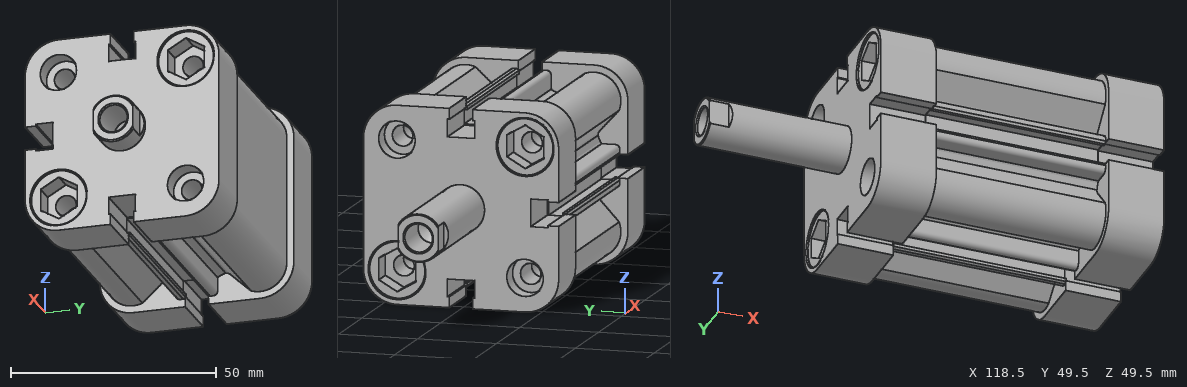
import cadquery as cq
import math


total_length = 118.5
front_rod_length = 37.0
cap_thickness = 14.6
tube_length = 45.3
tube_start = front_rod_length + cap_thickness
rear_cap_end = tube_start + tube_length + cap_thickness

cap_width = 49.5
corner_spacing = 32.5
corner_offset = corner_spacing / 2
cap_corner_radius = cap_width / 2 - corner_offset
cap_slot_mouth_width = 5.9
cap_slot_width = 6.9
cap_slot_mouth_depth = 2.7
cap_slot_depth = 7.1

screw_head_diameter = 14.0
screw_recess_diameter = 14.6
screw_head_setback = 0.4
hex_across_flats = 9.4
hex_depth = 5.7
corner_bore_diameter = 5.2
counterbore_diameter = 9.2
counterbore_depth = 5.0

tube_width = 46.0
tube_corner_radius = tube_width / 2 - corner_offset
corner_flat_start = 13.9
valley_outer = (8.5, 17.7)
valley_middle = (7.9, 17.3)
valley_bottom = (7.3, 17.2)
rail_foot_outer = (5.8, 17.8)
rail_foot = (5.3, 18.1)
rail_top_height = 22.8
shoulder_radius = 1.2
rail_shoulder_height = rail_top_height - shoulder_radius
rail_top_half_width = rail_foot[0] - shoulder_radius
lip_bevel_half_width = 3.4
lip_half_width = 2.7
lip_bevel_bottom = 22.4
lip_bottom = 21.6
tube_slot_width = 6.9
tube_slot_floor = 18.0

rod_diameter = 12.0
flat_distance = 10.1
front_flat_length = 5.1
rear_flat_length = 5.5
flat_runout = 0.6
front_chamfer = 0.2
rear_chamfer = 0.4
thread_diameter = 7.0
thread_mouth_diameter = 7.7
thread_depth = 11.8
drill_tip_angle = 118.0

slotted_side_turns = (0, 90, 180)

screw_corners = [(-corner_offset, corner_offset), (corner_offset, -corner_offset)]
plain_corners = [(corner_offset, corner_offset), (-corner_offset, -corner_offset)]
all_corners = screw_corners + plain_corners


def section_at(x):
    """Workplane across the axis, with local x along Y and local y along Z."""
    return cq.Workplane("YZ", origin=(x, 0, 0))


def turned(body, angle):
    return body.rotate((0, 0, 0), (1, 0, 0), angle)


def mirrored_outline(half_points):
    """Closed outline from the points of its +Y half."""
    return half_points + [(-y, z) for y, z in reversed(half_points)]


def cap_slot():
    edge = cap_width / 2
    half = [
        (cap_slot_mouth_width / 2, edge),
        (cap_slot_mouth_width / 2, edge - cap_slot_mouth_depth),
        (cap_slot_width / 2, edge - cap_slot_mouth_depth),
        (cap_slot_width / 2, edge - cap_slot_depth),
    ]
    return section_at(0).polyline(mirrored_outline(half)).close().extrude(cap_thickness)


def at_screws(cutter):
    """Copies of a cutter made on the X axis, one at each screw corner."""
    copies = cq.Workplane("YZ")
    for y, z in screw_corners:
        copies = copies.add(cutter.translate((0, y, z)))
    return copies.combine()


def screw_recess():
    """Shallow recess down to a screw head with a chamfered rim."""
    recess = screw_recess_diameter / 2
    head = screw_head_diameter / 2
    rim_bottom = screw_head_setback + recess - head
    return (
        cq.Workplane("XY")
        .polyline(
            [
                (0, 0),
                (0, recess),
                (rim_bottom, recess),
                (screw_head_setback, head),
                (screw_head_setback, 0),
            ]
        )
        .close()
        .revolve(360, (0, 0, 0), (1, 0, 0))
    )


def hex_socket():
    across_corners = hex_across_flats / math.cos(math.radians(30))
    socket = section_at(0).polygon(6, across_corners).extrude(screw_head_setback + hex_depth)
    return turned(socket, 30)


def corner_holes(corners, diameter, length):
    return section_at(0).pushPoints(corners).circle(diameter / 2).extrude(length)


def make_cap():
    """End cap with its outer face at X = 0."""
    cap = section_at(0).rect(cap_width, cap_width).extrude(cap_thickness)
    cap = cap.edges("|X").fillet(cap_corner_radius)
    for angle in slotted_side_turns:
        cap = cap.cut(turned(cap_slot(), angle))
    cap = cap.cut(at_screws(screw_recess())).cut(at_screws(hex_socket()))
    cap = cap.cut(corner_holes(all_corners, corner_bore_diameter, cap_thickness))
    cap = cap.cut(corner_holes(plain_corners, counterbore_diameter, counterbore_depth))
    return cap.cut(section_at(0).circle(rod_diameter / 2).extrude(cap_thickness))


def turned_point(point, angle):
    """Point of the +Z side carried round the axis by an angle in degrees."""
    y, z = point
    cosine = math.cos(math.radians(angle))
    sine = math.sin(math.radians(angle))
    return (y * cosine - z * sine, y * sine + z * cosine)


def tube_blank():
    """Profile with rails, valleys and round corner barrels, before its slots and holes are cut."""
    diagonal = math.sin(math.radians(45))
    flat_start_height = corner_offset + math.sqrt(
        tube_corner_radius**2 - (corner_offset - corner_flat_start) ** 2
    )
    corner_middle = corner_offset + tube_corner_radius * diagonal
    shoulder_middle = (
        rail_top_half_width + shoulder_radius * diagonal,
        rail_shoulder_height + shoulder_radius * diagonal,
    )
    flat_start = (corner_flat_start, flat_start_height)
    shoulder = (rail_foot[0], rail_shoulder_height)
    rail_top = (rail_top_half_width, rail_top_height)

    def across(point):
        return (-point[0], point[1])

    plain_side = tube_width / 2
    outline = section_at(0).moveTo(plain_side, corner_offset)
    outline = outline.threePointArc((corner_middle, corner_middle), flat_start)
    for angle in slotted_side_turns:

        def at(point):
            return turned_point(point, angle)

        outline = outline.lineTo(*at(valley_outer))
        outline = outline.threePointArc(at(valley_middle), at(valley_bottom))
        for point in (rail_foot_outer, rail_foot, shoulder):
            outline = outline.lineTo(*at(point))
        outline = outline.threePointArc(at(shoulder_middle), at(rail_top))
        outline = outline.lineTo(*at(across(rail_top)))
        outline = outline.threePointArc(at(across(shoulder_middle)), at(across(shoulder)))
        for point in (rail_foot, rail_foot_outer, valley_bottom):
            outline = outline.lineTo(*at(across(point)))
        outline = outline.threePointArc(at(across(valley_middle)), at(across(valley_outer)))
        outline = outline.lineTo(*at(across(flat_start)))
        if angle == slotted_side_turns[-1]:
            corner_end = (plain_side, -corner_offset)
        else:
            corner_end = turned_point(flat_start, angle + 90)
        outline = outline.threePointArc(at((-corner_middle, corner_middle)), corner_end)
    return outline.close().extrude(tube_length)


def tube_slot():
    half = [
        (lip_bevel_half_width, rail_top_height),
        (lip_half_width, lip_bevel_bottom),
        (lip_half_width, lip_bottom),
        (tube_slot_width / 2, lip_bottom),
        (tube_slot_width / 2, tube_slot_floor),
    ]
    return section_at(0).polyline(mirrored_outline(half)).close().extrude(tube_length)


def make_tube():
    """Profile tube starting at X = 0, plain on its +Y side."""
    tube = tube_blank()
    for angle in slotted_side_turns:
        tube = tube.cut(turned(tube_slot(), angle))
    tube = tube.cut(corner_holes(all_corners, corner_bore_diameter, tube_length))
    return tube.cut(section_at(0).circle(rod_diameter / 2).extrude(tube_length))


def wrench_flats(length):
    """Material outside a pair of wrench flats at a rod end lying at X = 0, with sloped run-outs."""
    inner = flat_distance / 2
    outer = rod_diameter / 2
    flat = (
        cq.Workplane("XY")
        .polyline([(0, inner), (length, inner), (length + flat_runout, outer), (0, outer)])
        .close()
        .extrude(rod_diameter / 2, both=True)
    )
    return flat.union(flat.mirror("XZ"))


def threaded_hole():
    """Drilled hole from X = 0 with a chamfered mouth and a conical bottom."""
    bore = thread_diameter / 2
    mouth = thread_mouth_diameter / 2
    tip_length = bore / math.tan(math.radians(drill_tip_angle / 2))
    return (
        cq.Workplane("XY")
        .polyline(
            [
                (0, 0),
                (0, mouth),
                (mouth - bore, bore),
                (thread_depth, bore),
                (thread_depth + tip_length, 0),
            ]
        )
        .close()
        .revolve(360, (0, 0, 0), (1, 0, 0))
    )


def at_rear_end(feature):
    """Turn a feature made for the front rod end round onto the rear one."""
    return feature.mirror("YZ").translate((total_length, 0, 0))


def make_rod():
    rod = section_at(0).circle(rod_diameter / 2).extrude(total_length)
    rod = rod.faces("<X").chamfer(front_chamfer)
    rod = rod.faces(">X").chamfer(rear_chamfer)
    rod = rod.cut(wrench_flats(front_flat_length)).cut(threaded_hole())
    return rod.cut(at_rear_end(wrench_flats(rear_flat_length))).cut(at_rear_end(threaded_hole()))


front_cap = make_cap().translate((front_rod_length, 0, 0))
rear_cap = make_cap().mirror("YZ").mirror("XY").translate((rear_cap_end, 0, 0))
tube = make_tube().translate((tube_start, 0, 0))
rod = make_rod()

result = cq.Compound.makeCompound([front_cap.val(), rear_cap.val(), tube.val(), rod.val()])